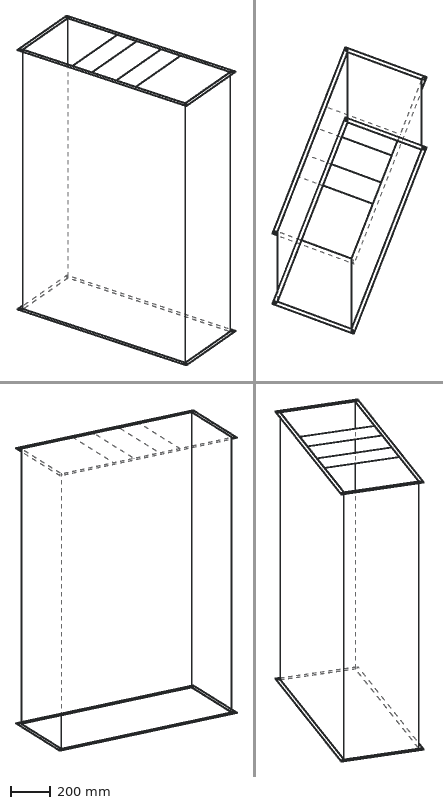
import cadquery as cq

duct_length_x = 1000.0
duct_width_y = 400.0
total_height = 1500.0
sheet_thickness = 1.0

flange_width = 20.0
corner_hole_diameter = 12.0

strip_width = 120.0
strip_gap = 150.0

casing_x = duct_length_x + 2 * sheet_thickness
casing_y = duct_width_y + 2 * sheet_thickness
flange_x = casing_x + 2 * flange_width
flange_y = casing_y + 2 * flange_width
hole_spacing_x = duct_length_x + flange_width
hole_spacing_y = duct_width_y + flange_width
top_sheet_z = total_height - sheet_thickness
strip_offset_x = (strip_gap + strip_width) / 2


def make_casing():
    """Rectangular tube running the full height, open at both ends."""
    return (
        cq.Workplane("XY")
        .rect(casing_x, casing_y)
        .rect(duct_length_x, duct_width_y)
        .extrude(total_height)
    )


def make_flange(bottom_z):
    """Flat frame fitted around the casing, with a hole through each corner."""
    frame = (
        cq.Workplane("XY", origin=(0, 0, bottom_z))
        .rect(flange_x, flange_y)
        .rect(casing_x, casing_y)
        .extrude(sheet_thickness)
    )
    corner_holes = (
        cq.Workplane("XY", origin=(0, 0, bottom_z))
        .rect(hole_spacing_x, hole_spacing_y, forConstruction=True)
        .vertices()
        .circle(corner_hole_diameter / 2)
        .extrude(sheet_thickness)
    )
    return frame.cut(corner_holes)


def make_strip(center_x):
    """Flat strip spanning the duct between its long walls, flush with the top end."""
    return (
        cq.Workplane("XY", origin=(center_x, 0, top_sheet_z))
        .rect(strip_width, duct_width_y)
        .extrude(sheet_thickness)
    )


casing = make_casing()
flanges = [make_flange(bottom_z) for bottom_z in (0, top_sheet_z)]
strips = [make_strip(center_x) for center_x in (-strip_offset_x, strip_offset_x)]

bodies = [casing, *flanges, *strips]
result = cq.Compound.makeCompound([body.solids().val() for body in bodies])